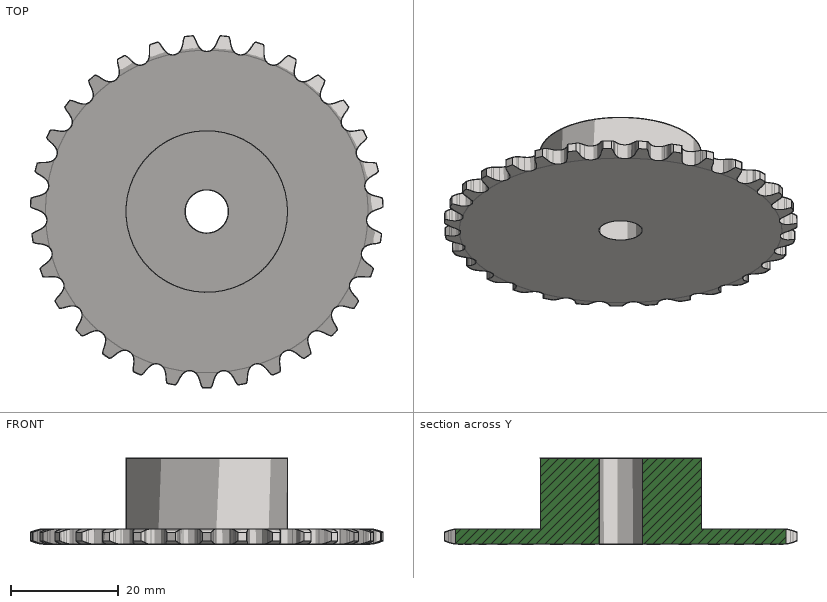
import cadquery as cq
import math

tooth_count = 31
chain_pitch = 6.35
roller_diameter = 3.3
outer_diameter = 65.6
plate_thickness = 2.9
overall_height = 16.0
hub_diameter = 30.0
bore_diameter = 8.0
tooth_crown_start = 29.95
gap_clearance = 0.3

half_pitch_angle = math.pi / tooth_count
pitch_angle = 2 * half_pitch_angle
pitch_radius = chain_pitch / (2 * math.sin(half_pitch_angle))
outer_radius = outer_diameter / 2
crown_radius = chain_pitch

seat_radius = 0.51 * roller_diameter
working_offset = 0.8 * roller_diameter
topping_offset = 1.4 * roller_diameter
seat_angle = math.radians(35 + 60 / tooth_count)
working_angle = math.radians(18 - 56 / tooth_count)


def polar(center, radius, angle):
    return (center[0] + radius * math.cos(angle), center[1] + radius * math.sin(angle))


def mirrored(point):
    return (-point[0], point[1])


def circle_crossing(center, radius, origin_radius):
    """Upper crossing of a circle with the circle of origin_radius around the origin."""
    distance = math.hypot(*center)
    cosine = (distance**2 + origin_radius**2 - radius**2) / (2 * distance * origin_radius)
    direction = math.atan2(center[1], center[0])
    return polar((0, 0), origin_radius, direction - math.acos(cosine))


def tooth_gap():
    """Cutter for the gap centred on +Y: roller seat, working curves, flats and topping curves."""
    seat_center = (0, pitch_radius)
    flat_angle = seat_angle - working_angle
    working_radius = working_offset + seat_radius
    working_center = polar(seat_center, working_offset, seat_angle)
    topping_center = polar(seat_center, topping_offset, math.pi + half_pitch_angle)
    topping_radius = (
        working_offset * math.cos(working_angle)
        + topping_offset * math.cos(flat_angle - half_pitch_angle)
        - working_radius
    )

    seat_bottom = (0, pitch_radius - seat_radius)
    seat_end = polar(seat_center, seat_radius, math.pi + seat_angle)
    working_middle = polar(working_center, working_radius, math.pi + seat_angle - working_angle / 2)
    working_end = polar(working_center, working_radius, math.pi + flat_angle)
    flat_end = polar(topping_center, topping_radius, flat_angle)
    topping_end = circle_crossing(topping_center, topping_radius, outer_radius + gap_clearance)
    end_angle = math.atan2(topping_end[1] - topping_center[1], topping_end[0] - topping_center[0])
    topping_middle = polar(topping_center, topping_radius, (flat_angle + end_angle) / 2)

    return (
        cq.Workplane("XY")
        .moveTo(*topping_end)
        .threePointArc(topping_middle, flat_end)
        .lineTo(*working_end)
        .threePointArc(working_middle, seat_end)
        .threePointArc(seat_bottom, mirrored(seat_end))
        .threePointArc(mirrored(working_middle), mirrored(working_end))
        .lineTo(*mirrored(flat_end))
        .threePointArc(mirrored(topping_middle), mirrored(topping_end))
        .close()
        .extrude(plate_thickness)
    )


def crowned_plate():
    """Round plate whose rim narrows along arcs tangent to both flat faces."""
    rim_width = outer_radius - tooth_crown_start
    crown_angle = math.asin(rim_width / crown_radius)
    lower_center = (tooth_crown_start, crown_radius)
    upper_center = (tooth_crown_start, plate_thickness - crown_radius)
    lower_middle = polar(lower_center, crown_radius, crown_angle / 2 - math.pi / 2)
    lower_tip = polar(lower_center, crown_radius, crown_angle - math.pi / 2)
    upper_middle = polar(upper_center, crown_radius, math.pi / 2 - crown_angle / 2)
    upper_tip = polar(upper_center, crown_radius, math.pi / 2 - crown_angle)
    return (
        cq.Workplane("XZ")
        .lineTo(tooth_crown_start, 0)
        .threePointArc(lower_middle, lower_tip)
        .lineTo(*upper_tip)
        .threePointArc(upper_middle, (tooth_crown_start, plate_thickness))
        .lineTo(0, plate_thickness)
        .close()
        .revolve(360, (0, 0, 0), (0, 1, 0))
    )


gap = tooth_gap()
plate = crowned_plate()
for index in range(tooth_count):
    plate = plate.cut(gap.rotate((0, 0, 0), (0, 0, 1), math.degrees(index * pitch_angle)))

hub = cq.Workplane("XY").circle(hub_diameter / 2).extrude(overall_height)
bore = cq.Workplane("XY").circle(bore_diameter / 2).extrude(overall_height)
result = plate.union(hub).cut(bore)